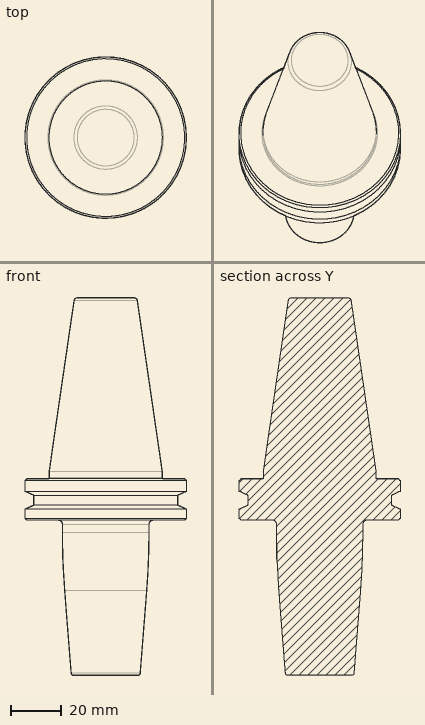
import cadquery as cq
import math

total_length = 148.2

shank_length = 68.2
gauge_radius = 22.2
taper_ratio = 7 / 24
shank_tip_radius = gauge_radius - shank_length * taper_ratio / 2
tip_fillet = 1.3

flange_radius = 31.7
flange_top = -2.8
flange_bottom = -19.1
flange_chamfer = 0.7
root_fillet = 0.5
groove_center = -11.3
groove_mouth_width = 7.0
groove_floor_width = 3.9
groove_floor_radius = 28.3

neck_radius = 17.0
neck_fillet = 1.6
neck_bottom = -23.9
curve_bottom = -46.7
nose_bottom = shank_length - total_length
nose_half_angle = math.radians(4.5)
nose_fillet = 1.0

curve_radius = (neck_bottom - curve_bottom) / math.sin(nose_half_angle)
curve_end_radius = neck_radius - curve_radius * (1 - math.cos(nose_half_angle))
nose_end_radius = curve_end_radius - (curve_bottom - nose_bottom) * math.tan(nose_half_angle)


def revolve(profile):
    """Close a half section on the axis and turn it about Z."""
    return profile.close().revolve(360, (0, 0, 0), (0, 1, 0))


def make_shank():
    shank = revolve(
        cq.Workplane("XZ")
        .moveTo(0, shank_length)
        .lineTo(shank_tip_radius, shank_length)
        .lineTo(gauge_radius, 0)
        .lineTo(gauge_radius, flange_top)
        .lineTo(0, flange_top)
    )
    return shank.faces(">Z").edges().fillet(tip_fillet)


def make_flange():
    flange = (
        cq.Workplane("XY")
        .workplane(offset=flange_bottom)
        .circle(flange_radius)
        .extrude(flange_top - flange_bottom)
        .faces("<Z or >Z")
        .edges()
        .chamfer(flange_chamfer)
    )
    groove = revolve(
        cq.Workplane("XZ")
        .moveTo(flange_radius, groove_center + groove_mouth_width / 2)
        .lineTo(groove_floor_radius, groove_center + groove_floor_width / 2)
        .lineTo(groove_floor_radius, groove_center - groove_floor_width / 2)
        .lineTo(flange_radius, groove_center - groove_mouth_width / 2)
    )
    return flange.cut(groove)


def make_nose():
    nose = revolve(
        cq.Workplane("XZ")
        .moveTo(0, flange_bottom)
        .lineTo(neck_radius, flange_bottom)
        .lineTo(neck_radius, neck_bottom)
        .tangentArcPoint((curve_end_radius, curve_bottom), relative=False)
        .lineTo(nose_end_radius, nose_bottom)
        .lineTo(0, nose_bottom)
    )
    return nose.faces("<Z").edges().fillet(nose_fillet)


def make_corner_fillet(wall_radius, face_height, size, direction):
    """Ring that rounds the corner between a wall and a flange face; direction is +1 up, -1 down."""
    outer_radius = wall_radius + size
    far_height = face_height + direction * size
    arc_offset = size * (1 - math.sqrt(0.5))
    return revolve(
        cq.Workplane("XZ")
        .moveTo(wall_radius, face_height)
        .lineTo(outer_radius, face_height)
        .threePointArc(
            (wall_radius + arc_offset, face_height + direction * arc_offset),
            (wall_radius, far_height),
        )
    )


result = (
    make_flange()
    .union(make_shank())
    .union(make_nose())
    .union(make_corner_fillet(gauge_radius, flange_top, root_fillet, 1))
    .union(make_corner_fillet(neck_radius, flange_bottom, neck_fillet, -1))
)